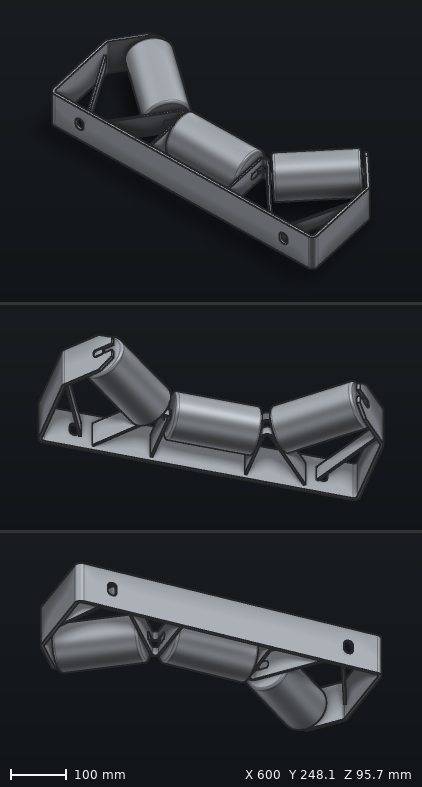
import cadquery as cq
import math


LENGTH = 600.0
FRAME_HEIGHT = 81.0
FRAME_THICK = 6.0
BEND_INNER_RADIUS = 6.0
BEND_OUTER_RADIUS = BEND_INNER_RADIUS + FRAME_THICK
WING_ANGLE = 40.0
WING_LENGTH = 102.0
WING_CUT_LENGTH = 28.0
WING_CUT_HEIGHT = 18.0
MOUNT_SLOT_X = 231.5
MOUNT_SLOT_WIDTH = 18.0
MOUNT_SLOT_HEIGHT = 27.0

BRACKET_THICK = 4.0
BRACKET_X = 86.0
BRACKET_BEND_Y = 116.0
BRACKET_BEND_RADIUS = 10.0
BRACKET_HEIGHT = 50.5

BRACE_THICK = 4.0
BRACE_FOOT_X = 223.0
BRACE_HEAD_Y = 152.0
BRACE_HEIGHT = 30.0

ROLLER_DIAMETER = 89.5
ROLLER_LENGTH = 160.0
ROLLER_EDGE_RADIUS = 5.0
SHAFT_DIAMETER = 20.0
SHAFT_FLAT_WIDTH = 15.0
SHOULDER_GAP = 2.0
MIDDLE_ROLLER_Y = 98.5
SIDE_ROLLER_Y = 164.5
SIDE_ROLLER_TILT = 2.2

SIN_WING = math.sin(math.radians(WING_ANGLE))
COS_WING = math.cos(math.radians(WING_ANGLE))
ALONG_WING = cq.Vector(SIN_WING, COS_WING)
ACROSS_WING = cq.Vector(COS_WING, -SIN_WING)
WING_NORMAL_ANGLE = 180 - WING_ANGLE

PLATE_GAP = 2 * BRACKET_X
SHAFT_LENGTH = PLATE_GAP + 2 * BRACKET_THICK
SHOULDER_LENGTH = PLATE_GAP - 2 * SHOULDER_GAP
SIDE_ROLLER_Z = -PLATE_GAP / 2 * math.tan(math.radians(SIDE_ROLLER_TILT))
MIDDLE_ROLLER_Z = 2 * SIDE_ROLLER_Z

BRACKET_BEND = cq.Vector(-BRACKET_X - BRACKET_BEND_RADIUS, BRACKET_BEND_Y)
DIAGONAL_START = BRACKET_BEND - ACROSS_WING * BRACKET_BEND_RADIUS

FRAME_BEND_X = BEND_OUTER_RADIUS - LENGTH / 2
WING_FACE = DIAGONAL_START.dot(ACROSS_WING) - PLATE_GAP
SIDE_END_Y = (FRAME_BEND_X * COS_WING - BEND_INNER_RADIUS - WING_FACE) / SIN_WING

ROLLER_FACE_POINT = DIAGONAL_START - ACROSS_WING * (PLATE_GAP / 2)
ROLLER_SHIFT = (SIDE_ROLLER_Y - ROLLER_FACE_POINT.y) / COS_WING
SIDE_ROLLER_X = (ROLLER_FACE_POINT + ALONG_WING * ROLLER_SHIFT).x

SLOT_CUT_LENGTH = PLATE_GAP + 4 * FRAME_THICK
SLOT_REACH = 72.0


def xy(point):
    return (point.x, point.y)


def on_circle(center, radius, degrees):
    angle = math.radians(degrees)
    return (center.x + radius * math.cos(angle), center.y + radius * math.sin(angle))


def add_arc(outline, center, radius, start, end):
    """Continue an outline with a line to the arc's start, then the arc."""
    middle = on_circle(center, radius, (start + end) / 2)
    return outline.lineTo(*on_circle(center, radius, start)).threePointArc(
        middle, on_circle(center, radius, end)
    )


def place_left(body):
    """Move a body built along the X axis at the origin to the left roller's position."""
    return (
        body.rotate((0, 0, 0), (0, 1, 0), SIDE_ROLLER_TILT)
        .rotate((0, 0, 0), (0, 0, 1), -WING_ANGLE)
        .translate((SIDE_ROLLER_X, SIDE_ROLLER_Y, SIDE_ROLLER_Z))
    )


def place_middle(body):
    return body.translate((0, MIDDLE_ROLLER_Y, MIDDLE_ROLLER_Z))


def make_bar(diameter, length):
    """Round bar along X, centred at the origin."""
    return cq.Workplane("YZ", origin=(-length / 2, 0, 0)).circle(diameter / 2).extrude(length)


def make_flatted_bar(length):
    """Shaft bar with a flat on its top and its bottom."""
    return make_bar(SHAFT_DIAMETER, length).intersect(
        cq.Workplane().box(length, SHAFT_DIAMETER, SHAFT_FLAT_WIDTH)
    )


def make_slot_cutter():
    """Shape of the shaft in its seat plus the open way by which it slides in."""
    way = cq.Workplane().box(SLOT_CUT_LENGTH, SLOT_REACH, SHAFT_FLAT_WIDTH, centered=(True, False, True))
    return make_flatted_bar(SLOT_CUT_LENGTH).union(way)


def make_roller():
    shell = make_bar(ROLLER_DIAMETER, ROLLER_LENGTH).edges("%CIRCLE").fillet(ROLLER_EDGE_RADIUS)
    shoulder = make_bar(SHAFT_DIAMETER, SHOULDER_LENGTH)
    return shell.union(shoulder).union(make_flatted_bar(SHAFT_LENGTH))


def make_left_frame_half():
    corner = cq.Vector(FRAME_BEND_X, BEND_OUTER_RADIUS)
    wing_bend = cq.Vector(FRAME_BEND_X, SIDE_END_Y)
    tip = wing_bend - ACROSS_WING * BEND_OUTER_RADIUS + ALONG_WING * WING_LENGTH

    outline = cq.Workplane().moveTo(0, 0)
    outline = add_arc(outline, corner, BEND_OUTER_RADIUS, 270, 180)
    outline = add_arc(outline, wing_bend, BEND_OUTER_RADIUS, 180, WING_NORMAL_ANGLE)
    outline = outline.lineTo(*xy(tip)).lineTo(*xy(tip + ACROSS_WING * FRAME_THICK))
    outline = add_arc(outline, wing_bend, BEND_INNER_RADIUS, WING_NORMAL_ANGLE, 180)
    outline = add_arc(outline, corner, BEND_INNER_RADIUS, 180, 270)
    outline = outline.lineTo(0, FRAME_THICK).close()
    half = outline.extrude(FRAME_HEIGHT / 2, both=True)

    wing_plane = cq.Plane(origin=tip, xDir=-ALONG_WING, normal=ACROSS_WING)
    for side in (-1, 1):
        edge = side * FRAME_HEIGHT / 2
        corner_cut = [(0, edge), (WING_CUT_LENGTH, edge), (0, edge - side * WING_CUT_HEIGHT)]
        half = half.cut(cq.Workplane(wing_plane).polyline(corner_cut).close().extrude(FRAME_THICK))

    mount_slot = (
        cq.Workplane("XZ")
        .center(-MOUNT_SLOT_X, 0)
        .slot2D(MOUNT_SLOT_HEIGHT, MOUNT_SLOT_WIDTH, 90)
        .extrude(-FRAME_THICK)
    )
    return half.cut(mount_slot)


def make_left_bracket():
    inner_radius = BRACKET_BEND_RADIUS - BRACKET_THICK
    diagonal_drop = DIAGONAL_START.y - BRACKET_THICK * SIN_WING - FRAME_THICK
    tip = DIAGONAL_START - ALONG_WING * (diagonal_drop / COS_WING)

    outline = cq.Workplane(origin=(0, 0, MIDDLE_ROLLER_Z)).moveTo(-BRACKET_X, FRAME_THICK)
    outline = add_arc(outline, BRACKET_BEND, BRACKET_BEND_RADIUS, 0, WING_NORMAL_ANGLE)
    outline = outline.lineTo(*xy(tip)).lineTo(*xy(tip + ACROSS_WING * BRACKET_THICK))
    outline = add_arc(outline, BRACKET_BEND, inner_radius, WING_NORMAL_ANGLE, 0)
    outline = outline.lineTo(-BRACKET_X - BRACKET_THICK, FRAME_THICK).close()
    return outline.extrude(BRACKET_HEIGHT / 2, both=True)


def make_left_brace():
    foot = cq.Vector(-BRACE_FOOT_X, FRAME_THICK)
    head = cq.Vector(FRAME_THICK - LENGTH / 2, BRACE_HEAD_Y)
    direction = (head - foot).normalized()
    across = cq.Vector(direction.y, -direction.x) * BRACE_THICK
    corners = [xy(foot), xy(head), xy(head + across), xy(foot + across)]
    return cq.Workplane().polyline(corners).close().extrude(BRACE_HEIGHT / 2, both=True)


side_slot = place_left(make_slot_cutter())
middle_slot = place_middle(make_slot_cutter())

left_frame_half = make_left_frame_half().cut(side_slot)
frame = left_frame_half.union(left_frame_half.mirror("YZ"))
middle_roller = place_middle(make_roller())

left_bracket = make_left_bracket().cut(side_slot).cut(middle_slot)
left_brace = make_left_brace()
left_roller = place_left(make_roller())

bodies = [frame.solids().val(), middle_roller.solids().val()]
for left_body in (left_bracket, left_brace, left_roller):
    right_body = left_body.mirror("YZ")
    bodies.append(left_body.solids().val())
    bodies.append(right_body.solids().val())

result = cq.Compound.makeCompound(bodies)